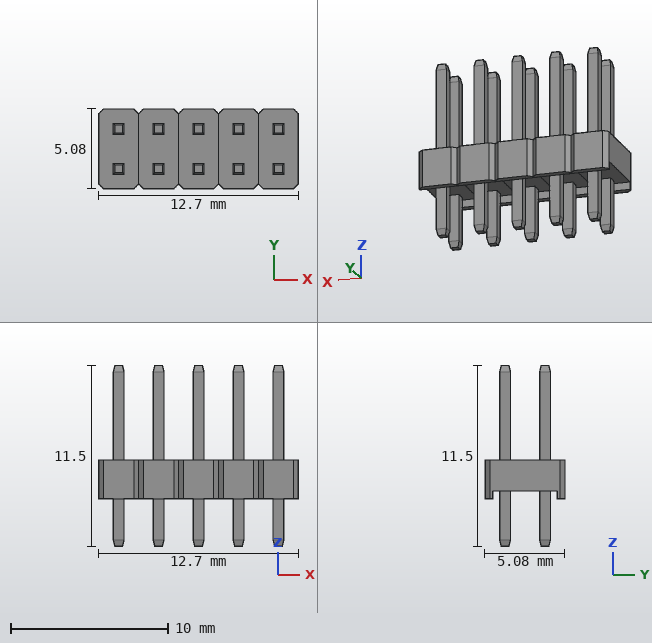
import cadquery as cq

segment_count = 5
pins_per_segment = 2
total_length = 12.7
pitch = total_length / segment_count

block_length = pitch
block_width = pins_per_segment * pitch
block_height = 2.49
corner_chamfer = 0.3

foot_width = 0.5
channel_height = 0.5
channel_width = block_width - 2 * foot_width

pin_side = 0.7
tip_side = 0.5
taper_height = 0.41
pin_above_block = 6.01
pin_below_block = 3.01
pin_length = pin_below_block + block_height + pin_above_block
shank_length = pin_length - 2 * taper_height


def centred_positions(count):
    """Coordinates of items one pitch apart, centred on zero."""
    return [(index - (count - 1) / 2) * pitch for index in range(count)]


def make_block():
    """Insulator block with chamfered upright corners and a channel underneath."""
    block = (
        cq.Workplane("XY")
        .box(block_length, block_width, block_height, centered=(True, True, False))
        .edges("|Z")
        .chamfer(corner_chamfer)
    )
    channel = cq.Workplane("XY").box(
        block_length, channel_width, channel_height, centered=(True, True, False)
    )
    return block.cut(channel)


def make_taper(base_z, direction):
    """Pin end narrowing from base_z upwards (direction 1) or downwards (direction -1)."""
    return (
        cq.Workplane("XY", origin=(0, 0, base_z))
        .rect(pin_side, pin_side)
        .workplane(offset=direction * taper_height)
        .rect(tip_side, tip_side)
        .loft(ruled=True)
    )


def make_pin():
    """Square pin on the Z axis, passing through the block height."""
    shank_bottom = taper_height - pin_below_block
    shank_top = shank_bottom + shank_length
    shank = (
        cq.Workplane("XY", origin=(0, 0, shank_bottom))
        .rect(pin_side, pin_side)
        .extrude(shank_length)
    )
    return shank.union(make_taper(shank_top, 1)).union(make_taper(shank_bottom, -1))


def make_segment():
    """One header segment: a block and its pins as a single solid."""
    segment = make_block()
    pin = make_pin()
    for y in centred_positions(pins_per_segment):
        segment = segment.union(pin.translate((0, y, 0)))
    return segment


segment = make_segment()
segments = [segment.translate((x, 0, 0)).val() for x in centred_positions(segment_count)]
result = cq.Compound.makeCompound([body.Solids()[0] for body in segments])